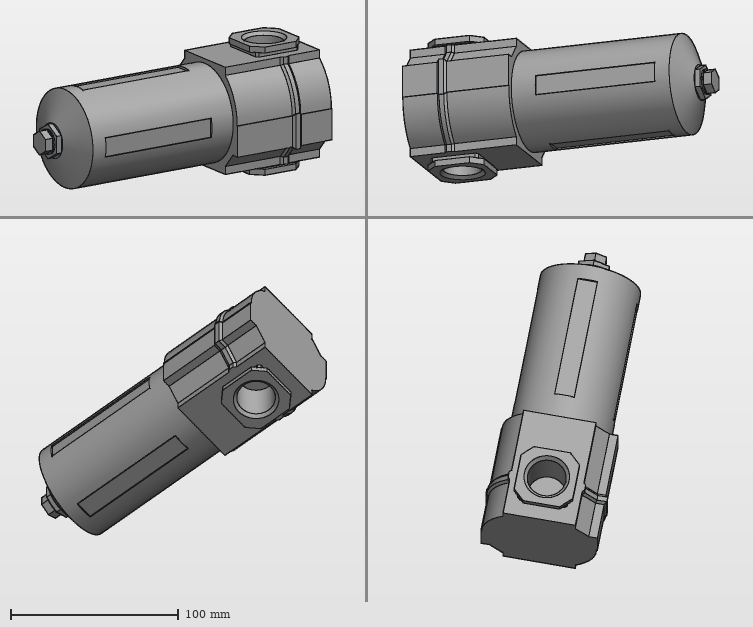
import cadquery as cq
import math


HEAD_BACK = 25.2
HEAD_LENGTH = 67.8
HEAD_FRONT = HEAD_BACK - HEAD_LENGTH
BLOCK_HALF_WIDTH = 22.0
BLOCK_HALF_HEIGHT = 33.5
BLOCK_SIDE_END = 28.4
SHOULDER_HALF_WIDTH = 35.5
SHOULDER_HEIGHT = 19.5
SHOULDER_INNER_X = 30.2
LOBE_HALF_WIDTH = 35.0

BAND_RISE = 1.3
BAND_BASE_WIDTH = 6.2
BAND_CREST_WIDTH = 3.0

PORT_TOP = 40.0
FLANGE_THICKNESS = 3.7
FLANGE_SIZE = 35.7
FLANGE_CORNER = 6.7
NECK_SIZE = 30.2
NECK_CORNER = 1.5
BORE_RADIUS = 11.5
BORE_CHAMFER = 2.0
BORE_DEPTH = 28.0

BOWL_RADIUS = 30.6
BOWL_LENGTH = 100.8
BOWL_END = HEAD_FRONT - BOWL_LENGTH
CONE_LENGTH = 8.5
CONE_END_RADIUS = 10.8
CONE_END = BOWL_END - CONE_LENGTH
WINDOW_COUNT = 4
WINDOW_WIDTH = 12.0
WINDOW_LENGTH = 76.2
WINDOW_OFFSET = 15.3
WINDOW_FLOOR = 29.1

DRAIN_TIP = HEAD_BACK - 186.7
NUT_FLATS = 18.7
NUT_LENGTH = 3.4
COLLAR_RADIUS = 7.7
COLLAR_LENGTH = 1.0
PLUG_FLATS = 12.9


def toward_drain(y):
    """Workplane across the part at y, extruding toward -Y, with local x = X and local y = Z."""
    return cq.Workplane("XZ", origin=(0, y, 0))


def head_section(y, rise):
    """Head outline at y, offset outward by rise everywhere except at the top and bottom."""
    block_x = BLOCK_HALF_WIDTH + rise
    shoulder_x = SHOULDER_HALF_WIDTH + rise
    shoulder_z = SHOULDER_HEIGHT + rise
    step_z = rise

    slope_run = SHOULDER_INNER_X - BLOCK_HALF_WIDTH
    slope_drop = BLOCK_SIDE_END - SHOULDER_HEIGHT
    slope_length = math.hypot(slope_run, slope_drop)
    slope_top_z = BLOCK_SIDE_END + rise * (slope_length - slope_drop) / slope_run
    slope_foot_x = SHOULDER_INNER_X + rise * (slope_length - slope_run) / slope_drop

    lobe_reach = LOBE_HALF_WIDTH - BLOCK_HALF_WIDTH
    base_radius = (lobe_reach**2 + BLOCK_SIDE_END**2) / (2 * lobe_reach)
    center_x = LOBE_HALF_WIDTH - base_radius
    radius = base_radius + rise
    start_angle = math.asin(step_z / radius)
    end_angle = math.acos((block_x - center_x) / radius)

    def lobe_point(angle, side):
        return side * (center_x + radius * math.cos(angle)), side * radius * math.sin(angle)

    section = toward_drain(y).moveTo(-block_x, -BLOCK_HALF_HEIGHT)
    for side in (1, -1):
        section = (
            section.lineTo(side * block_x, -side * BLOCK_HALF_HEIGHT)
            .lineTo(side * block_x, -side * slope_top_z)
            .lineTo(side * slope_foot_x, -side * shoulder_z)
            .lineTo(side * shoulder_x, -side * shoulder_z)
            .lineTo(side * shoulder_x, side * step_z)
            .lineTo(*lobe_point(start_angle, side))
            .threePointArc(
                lobe_point((start_angle + end_angle) / 2, side),
                lobe_point(end_angle, side),
            )
            .lineTo(side * block_x, side * BLOCK_HALF_HEIGHT)
        )
    return section.close()


def head_band():
    """Band with sloped flanks: a straight crest between two lofted flanks."""
    base_y = BAND_BASE_WIDTH / 2
    crest_y = BAND_CREST_WIDTH / 2
    band = head_section(crest_y, BAND_RISE).extrude(BAND_CREST_WIDTH)
    for side in (1, -1):
        base_wire = head_section(side * base_y, 0).val()
        crest_wire = head_section(side * crest_y, BAND_RISE).val()
        band = band.union(cq.Workplane(cq.Solid.makeLoft([base_wire, crest_wire], True)))
    return band


def cut_corner_plate(size, corner, bottom, top):
    """Square plate across Z with its four upright edges chamfered."""
    plate = cq.Workplane("XY").workplane(offset=bottom).rect(size, size).extrude(top - bottom)
    return plate.edges("|Z").chamfer(corner)


def make_head():
    """Head with its band, and a flanged, chamfered blind port on top and underneath."""
    head = head_section(HEAD_BACK, 0).extrude(HEAD_LENGTH).union(head_band())

    flange_bottom = PORT_TOP - FLANGE_THICKNESS
    neck = cut_corner_plate(NECK_SIZE, NECK_CORNER, BLOCK_HALF_HEIGHT, flange_bottom)
    flange = cut_corner_plate(FLANGE_SIZE, FLANGE_CORNER, flange_bottom, PORT_TOP)
    fitting = neck.union(flange)

    bore = (
        cq.Workplane("XZ")
        .moveTo(0, PORT_TOP)
        .lineTo(BORE_RADIUS + BORE_CHAMFER, PORT_TOP)
        .lineTo(BORE_RADIUS, PORT_TOP - BORE_CHAMFER)
        .lineTo(BORE_RADIUS, PORT_TOP - BORE_DEPTH)
        .lineTo(0, PORT_TOP - BORE_DEPTH)
        .close()
        .revolve(360, (0, 0, 0), (0, 1, 0))
    )
    head = head.union(fitting).union(fitting.mirror("XY"))
    return head.cut(bore).cut(bore.mirror("XY"))


def make_bowl():
    """Round bowl with a conical end and four flat-floored windows around it."""
    bowl = (
        cq.Workplane("XY")
        .moveTo(0, HEAD_FRONT)
        .lineTo(BOWL_RADIUS, HEAD_FRONT)
        .lineTo(BOWL_RADIUS, BOWL_END)
        .lineTo(CONE_END_RADIUS, CONE_END)
        .lineTo(0, CONE_END)
        .close()
        .revolve(360, (0, 0, 0), (0, 1, 0))
    )
    window = (
        cq.Workplane("XY", origin=(0, HEAD_FRONT - WINDOW_OFFSET - WINDOW_LENGTH / 2, WINDOW_FLOOR))
        .rect(WINDOW_WIDTH, WINDOW_LENGTH)
        .extrude(BOWL_RADIUS)
    )
    for index in range(WINDOW_COUNT):
        bowl = bowl.cut(window.rotate((0, 0, 0), (0, 1, 0), index * 360 / WINDOW_COUNT))
    return bowl


def hexagon(y, across_flats, length):
    """Hexagonal bar from y toward the tip, with corners at top and bottom."""
    across_corners = across_flats / math.cos(math.pi / 6)
    bar = toward_drain(y).polygon(6, across_corners).extrude(length)
    return bar.rotate((0, 0, 0), (0, 1, 0), 90)


def make_drain():
    """Drain fitting: hexagonal nut, round collar and smaller hexagonal plug."""
    collar_start = CONE_END - NUT_LENGTH
    plug_start = collar_start - COLLAR_LENGTH
    nut = hexagon(CONE_END, NUT_FLATS, NUT_LENGTH)
    collar = toward_drain(collar_start).circle(COLLAR_RADIUS).extrude(COLLAR_LENGTH)
    plug = hexagon(plug_start, PLUG_FLATS, plug_start - DRAIN_TIP)
    return nut.union(collar).union(plug)


head = make_head()
bowl = make_bowl()
drain = make_drain()

result = cq.Compound.makeCompound([head.val(), bowl.val(), drain.val()])